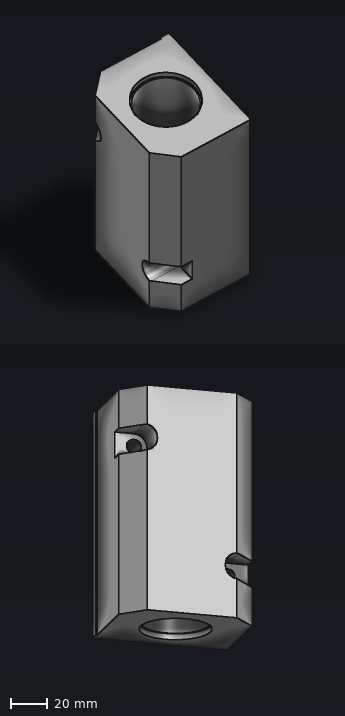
import cadquery as cq

width = 78.0
depth = 60.0
height = 130.0
front_chamfer = 12.7
back_chamfer = 1.0

lip_projection = 0.9
lip_length = 6.5

bore_x = width / 2
bore_y = depth / 2
bore_diameter = 38.0
recess_diameter = 40.0
recess_depth = 3.4

screw_diameter = 8.3
screw_side_inset = 12.0
screw_end_inset = 30.0
slot_width = 15.0
slot_depth = 20.0


def block():
    left = lip_projection
    lip_front = depth - lip_length
    outline = [
        (left + front_chamfer, 0),
        (width - front_chamfer, 0),
        (width, front_chamfer),
        (width, depth - back_chamfer),
        (width - back_chamfer, depth),
        (back_chamfer, depth),
        (0, depth - back_chamfer),
        (0, lip_front),
        (left, lip_front),
        (left, front_chamfer),
    ]
    return cq.Workplane("XY").polyline(outline).close().extrude(height)


def vertical_cylinder(diameter, bottom, length):
    return (
        cq.Workplane("XY", origin=(bore_x, bore_y, bottom))
        .circle(diameter / 2)
        .extrude(length)
    )


def screw_cut(x, z, side_x):
    """Through hole along Y plus its front slot, which runs out at side_x."""
    front = cq.Workplane("XZ")
    hole = front.center(x, z).circle(screw_diameter / 2).extrude(-depth)
    round_end = front.center(x, z).circle(slot_width / 2).extrude(-slot_depth)
    run_out = (
        front.center((x + side_x) / 2, z)
        .rect(abs(x - side_x), slot_width)
        .extrude(-slot_depth)
    )
    return hole.union(round_end).union(run_out)


result = (
    block()
    .cut(vertical_cylinder(bore_diameter, 0, height))
    .cut(vertical_cylinder(recess_diameter, 0, recess_depth))
    .cut(vertical_cylinder(recess_diameter, height - recess_depth, recess_depth))
    .cut(screw_cut(screw_side_inset, height - screw_end_inset, 0))
    .cut(screw_cut(width - screw_side_inset, screw_end_inset, width))
)